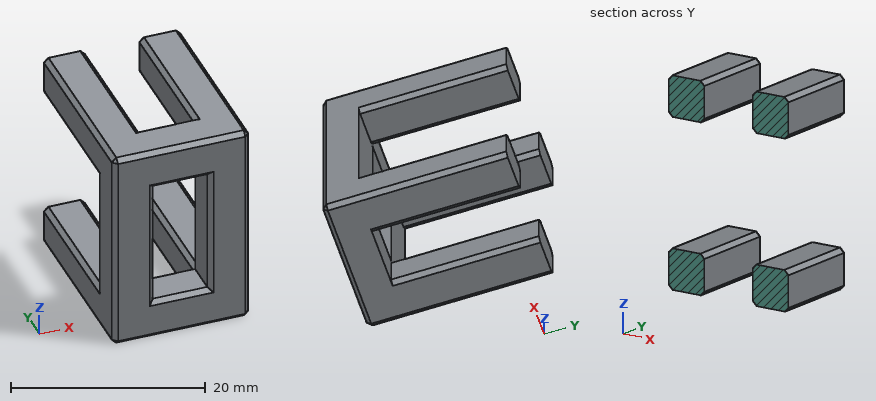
import cadquery as cq

width = 15.0
depth = 20.0
height = 23.0

bar_size = 4.5
frame_depth = 4.0
bevel = 0.5

window_width = width - 2 * bar_size
window_height = height - 2 * bar_size
leg_length = depth - frame_depth
leg_center_x = (width - bar_size) / 2
leg_center_y = (depth - leg_length) / 2
leg_center_z = (height - bar_size) / 2
front_y = -depth / 2
frame_center_y = front_y + frame_depth / 2


def frame():
    """Rectangular frame at the -Y end, bevelled along its outer and front edges."""
    plate = cq.Workplane("XY").box(width, frame_depth, height)
    plate = plate.edges("|Y or <Y").chamfer(bevel)
    window = cq.Workplane("XY").box(window_width, frame_depth, window_height)
    plate = plate.cut(window).translate((0, frame_center_y, 0))
    return plate.cut(window_flare())


def window_flare():
    """Bevel around the front rim of the window."""
    return (
        cq.Workplane("XZ", origin=(0, front_y + bevel, 0))
        .rect(window_width, window_height)
        .workplane(offset=bevel)
        .rect(window_width + 2 * bevel, window_height + 2 * bevel)
        .loft(ruled=True)
    )


def leg(side_x, side_z):
    """Square leg along Y with all four long edges bevelled, at one frame corner."""
    bar = cq.Workplane("XY").box(bar_size, leg_length, bar_size)
    bar = bar.edges("|Y").chamfer(bevel)
    return bar.translate((side_x * leg_center_x, leg_center_y, side_z * leg_center_z))


result = frame()
for side_x in (-1, 1):
    for side_z in (-1, 1):
        result = result.union(leg(side_x, side_z))
result = result.clean()